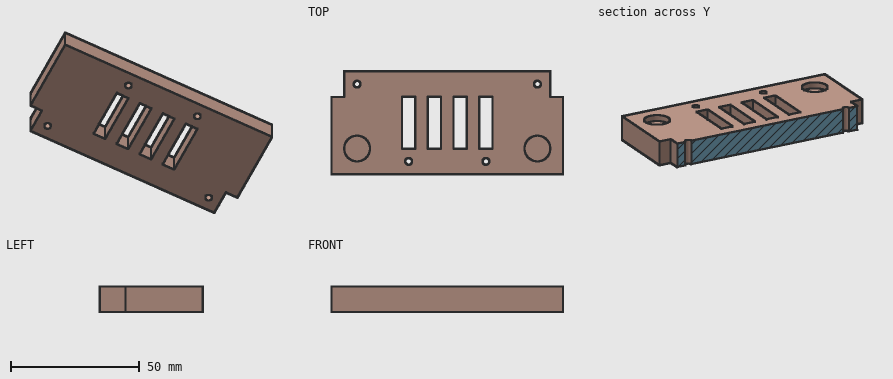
import cadquery as cq

length = 90.0
grid = length / 18
width = 8 * grid
thickness = 2 * grid

notch_length = grid
notch_width = 2 * grid

slot_count = 4
slot_length = grid
slot_width = 4 * grid
slot_pitch = 2 * grid

screw_diameter = 2.5
rear_screw_x = 7 * grid
front_screw_x = 3 * grid
screw_edge_distance = grid
pocket_diameter = 2 * grid
pocket_depth = grid / 2
pocket_x = 7 * grid
pocket_edge_distance = 2 * grid


def mirrored_pair(x, y):
    """Two points placed symmetrically about the YZ plane."""
    return [(-x, y), (x, y)]


def make_plate():
    """Plate centred on the origin in X and Y, resting on Z = 0."""
    plate = cq.Workplane("XY").box(length, width, thickness, centered=(True, True, False))
    notch_centers = mirrored_pair((length - notch_length) / 2, (width - notch_width) / 2)
    notches = (
        cq.Workplane("XY")
        .pushPoints(notch_centers)
        .rect(notch_length, notch_width)
        .extrude(thickness)
    )
    return plate.cut(notches)


def cut_slots(plate):
    slots = (
        cq.Workplane("XY")
        .rarray(slot_pitch, 0.9, slot_count, 1)
        .rect(slot_length, slot_width)
        .extrude(thickness)
    )
    return plate.cut(slots)


def cut_round_holes(plate):
    """Through screw holes and blind flat-bottomed pockets, all from the top."""
    rear_screws = mirrored_pair(rear_screw_x, width / 2 - screw_edge_distance)
    front_screws = mirrored_pair(front_screw_x, -width / 2 + screw_edge_distance)
    pockets = mirrored_pair(pocket_x, -width / 2 + pocket_edge_distance)
    screw_cutters = (
        cq.Workplane("XY")
        .pushPoints(rear_screws + front_screws)
        .circle(screw_diameter / 2)
        .extrude(thickness)
    )
    pocket_cutters = (
        cq.Workplane("XY")
        .workplane(offset=thickness - pocket_depth)
        .pushPoints(pockets)
        .circle(pocket_diameter / 2)
        .extrude(pocket_depth)
    )
    return plate.cut(screw_cutters).cut(pocket_cutters)


result = cut_round_holes(cut_slots(make_plate()))